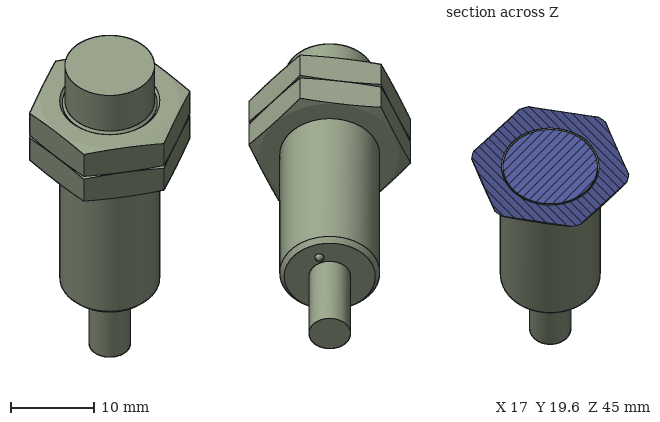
import cadquery as cq
import math

total_height = 45.0
cable_diameter = 5.0
cable_length = 10.0
barrel_diameter = 12.0
barrel_end_diameter = 10.95
barrel_chamfer_height = 0.65
nose_diameter = 10.75
nose_length = 5.75

lamp_radius = 0.55
lamp_offset = 3.4

nut_count = 2
nut_width = 17.0
nut_height = 4.0
nut_face_diameter = 16.75
nut_bevel_angle = 9.0

neck_diameter = (barrel_diameter + nose_diameter) / 2
countersink_depth = (barrel_diameter - neck_diameter) / 2
neck_bevel = (neck_diameter - nose_diameter) / 2

nose_bottom = total_height - nose_length
shoulder_height = nose_bottom - nut_count * nut_height


def make_sensor():
    """Revolved sensor body with a domed lamp on its lower face."""
    profile = [
        (0, 0),
        (cable_diameter / 2, 0),
        (cable_diameter / 2, cable_length),
        (barrel_end_diameter / 2, cable_length),
        (barrel_diameter / 2, cable_length + barrel_chamfer_height),
        (barrel_diameter / 2, shoulder_height),
        (neck_diameter / 2, shoulder_height),
        (neck_diameter / 2, nose_bottom - neck_bevel),
        (nose_diameter / 2, nose_bottom),
        (nose_diameter / 2, total_height),
        (0, total_height),
    ]
    body = cq.Workplane("XZ").polyline(profile).close().revolve(360, (0, 0), (0, 1))
    lamp = cq.Workplane("XY").sphere(lamp_radius).translate((0, lamp_offset, cable_length))
    return body.union(lamp)


def make_nut(bottom):
    """Hexagon nut with flats facing +X and -X, beveled corners and a countersunk bore."""
    corner_radius = nut_width / math.sqrt(3)
    face_radius = nut_face_diameter / 2
    bevel_height = (corner_radius - face_radius) * math.tan(math.radians(nut_bevel_angle))
    bore_radius = neck_diameter / 2
    countersink_radius = barrel_diameter / 2

    hexagon = (
        cq.Workplane("XY")
        .polygon(6, 2 * corner_radius)
        .extrude(nut_height)
        .rotate((0, 0, 0), (0, 0, 1), 30)
    )
    ring_profile = [
        (bore_radius, countersink_depth),
        (countersink_radius, 0),
        (face_radius, 0),
        (corner_radius, bevel_height),
        (corner_radius, nut_height - bevel_height),
        (face_radius, nut_height),
        (countersink_radius, nut_height),
        (bore_radius, nut_height - countersink_depth),
    ]
    ring = cq.Workplane("XZ").polyline(ring_profile).close().revolve(360, (0, 0), (0, 1))
    return hexagon.intersect(ring).translate((0, 0, bottom))


sensor = make_sensor()
nuts = [make_nut(shoulder_height + index * nut_height) for index in range(nut_count)]

result = cq.Compound.makeCompound([sensor.solids().val(), *[nut.solids().val() for nut in nuts]])